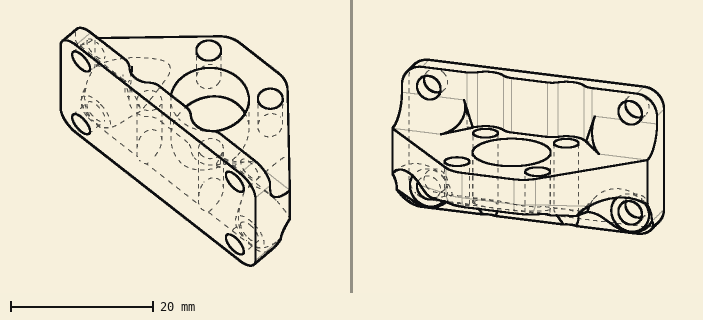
import cadquery as cq
import math

plate_width = 38.0
plate_height = 21.0
plate_thickness = 3.0
plate_corner_radius = 3.0
plate_hole_spacing_x = 30.0
plate_hole_spacing_z = 15.0
screw_hole_diameter = 3.5

flange_depth = 20.5
flange_top = 12.85
root_radius = 4.0
shoulder_y = plate_thickness + root_radius
flange_corner_radius = 4.0
center_bore_diameter = 11.0
flange_hole_spacing = 12.0
flange_center_y = 10.5

rear_edge_z = 7.55
slope_angle = math.radians(15)
under_root_radius = 6.35

clearance_radius = 2.8
edge_round = 2.0
flare_radius = 5.0
relief_draft = 14
relief_wall_angle = math.radians(50)

plate_center_z = plate_height / 2
flange_rear_half_width = plate_width / 2 - (flange_depth - shoulder_y)
front_hole_y = flange_center_y - flange_hole_spacing / 2


def make_plate(depth):
    """Block with the plate's rounded outline, from the front face back to the given depth."""
    return (
        cq.Workplane("XY")
        .box(plate_width, depth, plate_height)
        .edges("|Y")
        .fillet(plate_corner_radius)
        .translate((0, depth / 2, plate_center_z))
    )


def side_profile():
    """Flange section with a round root above and a round root below the slope."""
    slope = math.tan(slope_angle)
    line_z = rear_edge_z - slope * (flange_depth - plate_thickness)
    center_offset = line_z - under_root_radius / math.cos(slope_angle)
    a = 1 + slope**2
    b = 2 * slope * center_offset
    c = center_offset**2 - under_root_radius**2
    u = (-b + math.sqrt(b**2 - 4 * a * c)) / (2 * a)
    center_y = plate_thickness + u
    center_z = center_offset + slope * u
    start_angle = math.atan2(-center_z, -u) % (2 * math.pi)
    end_angle = math.pi / 2 + slope_angle

    def on_root(angle):
        return (
            center_y + under_root_radius * math.cos(angle),
            center_z + under_root_radius * math.sin(angle),
        )

    upper_mid = root_radius * (1 - math.sqrt(0.5))
    return (
        cq.Workplane("YZ")
        .moveTo(0, 0)
        .lineTo(plate_thickness, 0)
        .threePointArc(on_root((start_angle + end_angle) / 2), on_root(end_angle))
        .lineTo(flange_depth, rear_edge_z)
        .lineTo(flange_depth, flange_top)
        .lineTo(shoulder_y, flange_top)
        .threePointArc(
            (plate_thickness + upper_mid, flange_top + upper_mid),
            (plate_thickness, flange_top + root_radius),
        )
        .lineTo(0, flange_top + root_radius)
        .close()
        .extrude(plate_width / 2, both=True)
    )


def flange_outline():
    half = plate_width / 2
    return (
        cq.Workplane("XY")
        .polyline([
            (-half, 0), (half, 0), (half, shoulder_y),
            (flange_rear_half_width, flange_depth),
            (-flange_rear_half_width, flange_depth), (-half, shoulder_y),
        ])
        .close()
        .extrude(plate_height)
        .edges("|Z and >Y")
        .fillet(flange_corner_radius)
    )


def make_flange():
    flange = side_profile().intersect(flange_outline())
    rear_underside = cq.selectors.BoxSelector(
        (-plate_width / 2, shoulder_y + edge_round, 0),
        (plate_width / 2, flange_depth + edge_round, rear_edge_z + edge_round / 4),
    )
    flange = flange.edges(rear_underside).fillet(edge_round)
    return flange.intersect(make_plate(flange_depth))


def plate_pockets():
    """Rounded scallops in the plate's rear face, in line with the front flange holes."""
    slab = (
        cq.Workplane("XY", origin=(0, plate_thickness, flange_top))
        .rect(plate_width, flange_depth)
        .extrude(plate_height)
        .translate((0, flange_depth / 2, 0))
    )
    scallops = (
        cq.Workplane("XY", origin=(0, front_hole_y, flange_top))
        .pushPoints([(-flange_hole_spacing / 2, 0), (flange_hole_spacing / 2, 0)])
        .circle(clearance_radius)
        .extrude(plate_height)
    )
    pockets = slab.union(scallops)
    half_span = flange_hole_spacing / 2 + 2 * clearance_radius
    scallop_mouths = cq.selectors.BoxSelector(
        (-half_span, 0, 0),
        (half_span, shoulder_y, 2 * plate_height),
    )
    pockets = pockets.edges(scallop_mouths).edges("|Z").fillet(edge_round)
    return pockets.cut(slab)


def root_relief():
    """Clear the upper root between two sloping walls that run back from the scallops."""
    wall_x = flange_hole_spacing / 2 + clearance_radius * math.sin(relief_wall_angle)
    wall_y = front_hole_y - clearance_radius * math.cos(relief_wall_angle)
    rear_x = wall_x + (flange_depth - wall_y) / math.tan(relief_wall_angle)
    wedge = (
        cq.Workplane("XY", origin=(0, 0, flange_top))
        .polyline([
            (-wall_x, wall_y), (wall_x, wall_y),
            (rear_x, flange_depth), (-rear_x, flange_depth),
        ])
        .close()
        .extrude(plate_height - flange_top, taper=-relief_draft)
    )
    return wedge.cut(make_plate(plate_thickness))


def lower_clearance():
    """Flared screw head clearance behind a lower plate hole, as a solid of revolution about Y."""
    return (
        cq.Workplane("XY")
        .polyline([
            (0, plate_thickness), (clearance_radius, plate_thickness),
            (flare_radius, shoulder_y), (flare_radius, flange_depth), (0, flange_depth),
        ])
        .close()
        .revolve(360, (0, 0, 0), (0, 1, 0))
    )


def plate_holes():
    return (
        cq.Workplane("XZ", origin=(0, 0, plate_center_z))
        .rarray(plate_hole_spacing_x, plate_hole_spacing_z, 2, 2)
        .circle(screw_hole_diameter / 2)
        .extrude(-flange_depth)
    )


def flange_holes():
    screws = (
        cq.Workplane("XY", origin=(0, flange_center_y, 0))
        .rarray(flange_hole_spacing, flange_hole_spacing, 2, 2)
        .circle(screw_hole_diameter / 2)
        .extrude(flange_top)
    )
    center_bore = (
        cq.Workplane("XY", origin=(0, flange_center_y, 0))
        .circle(center_bore_diameter / 2)
        .extrude(flange_top)
    )
    return screws.union(center_bore)


flange = make_flange()
for side in (-1, 1):
    hole_x = side * plate_hole_spacing_x / 2
    hole_z = plate_center_z - plate_hole_spacing_z / 2
    flange = flange.cut(lower_clearance().translate((hole_x, 0, hole_z)))

result = (
    make_plate(plate_thickness)
    .union(flange)
    .cut(plate_pockets())
    .cut(root_relief())
    .cut(plate_holes())
    .cut(flange_holes())
)